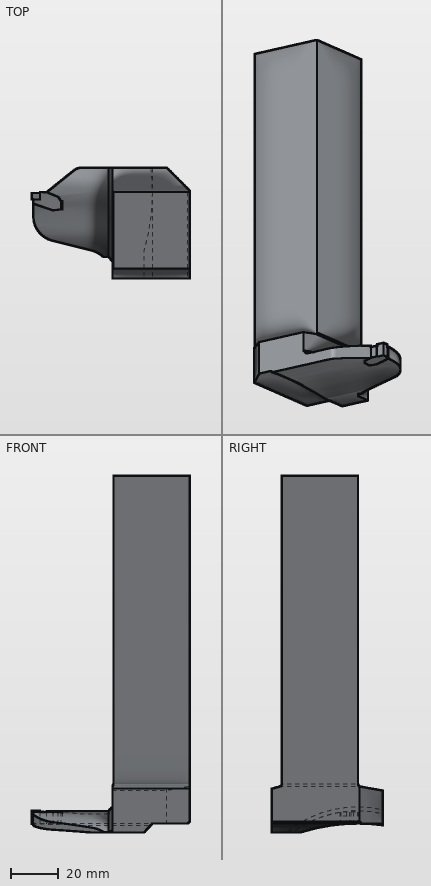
import cadquery as cq


TOTAL_HEIGHT = 149.2
SHANK_SIDE = 32.0
SHANK_SETBACK = 0.5
HEAD_LENGTH = SHANK_SIDE + SHANK_SETBACK
HEAD_FRONT = -4.2
HEAD_DEPTH = 46.4
HEAD_BACK = HEAD_FRONT + HEAD_DEPTH
SHANK_BASE = 20.3
FLARE_HEIGHT = 1.0
FLARE_RADIUS = 1.2
FLARE_BASE = SHANK_BASE - FLARE_HEIGHT
FRONT_EDGE_HEIGHT = 18.4
BACK_EDGE_HEIGHT = 17.6
CORNER_CHAMFER = 9.7
RELIEF_HEIGHT = 3.7
RELIEF_START = 13.3
RELIEF_END = 16.7
RELIEF_EDGE_CHAMFER = 0.9

BLADE_REACH = 33.1
BLADE_AXIS_Y = 31.6
TOP_RADIUS = 44.8
TOP_CREST = 9.1
BOTTOM_RADIUS = 79.1
BOTTOM_CREST = 3.7
ROOT_CHAMFER = 1.6
NOSE_RADIUS = 10.9
BACK_CORNER_RADIUS = 5.2
FLANK_Y = 32.0
FLANK_X = -27.5
BACK_CORNER_X = -14.6
NOSE_START_Y = 22.1
NOSE_END = (-25.7, 11.8)
NECK_START = (-7.8, 7.3)
NECK_MIDDLE = (-5.4, 6.1)
NECK_END = (-3.6, 4.8)
ROOT_CORNER = (-1.5, 4.8)
ROOT_FRONT_Y = 3.0

TIP_TOP = 9.3
INSERT_TOP = 8.5
TIP_REACH = HEAD_LENGTH - 66.1
TIP_BACK = 31.6
TIP_FRONT = 29.0
TIP_LAND_END = -30.3
SEAT_GAP = 0.7
SEAT_GAP_FLOOR = 6.9
INSERT_END_X = -21.5
INSERT_END_FRONT = 24.8
INSERT_END_BACK = 28.4
INSERT_BACK_CORNER = (-22.7, 30.0)
INSERT_FRONT_CORNER = (-24.8, 24.3)
INSERT_FRONT_EDGE_Y = 27.2
LAND_STEP = 0.5


def x_cylinder(radius, crest, start, end):
    """Cylinder along X whose highest line is at the given height."""
    return (
        cq.Workplane("YZ", origin=(start, BLADE_AXIS_Y, crest - radius))
        .circle(radius)
        .extrude(end - start)
    )


def make_shank():
    return (
        cq.Workplane("XY", origin=(SHANK_SETBACK, 0, FLARE_BASE))
        .rect(SHANK_SIDE, SHANK_SIDE, centered=False)
        .extrude(TOTAL_HEIGHT - FLARE_BASE)
    )


def make_head():
    head = (
        cq.Workplane("YZ")
        .moveTo(HEAD_FRONT, 0)
        .lineTo(HEAD_BACK, 0)
        .lineTo(HEAD_BACK, BACK_EDGE_HEIGHT)
        .lineTo(SHANK_SIDE + FLARE_HEIGHT, FLARE_BASE)
        .radiusArc((SHANK_SIDE, SHANK_BASE), FLARE_RADIUS)
        .lineTo(0, SHANK_BASE)
        .radiusArc((-FLARE_HEIGHT, FLARE_BASE), FLARE_RADIUS)
        .lineTo(HEAD_FRONT, FRONT_EDGE_HEIGHT)
        .close()
        .extrude(HEAD_LENGTH)
    )
    head = head.edges("|Z and >X and >Y").chamfer(CORNER_CHAMFER)

    flare_cut = (
        cq.Workplane("XZ", origin=(0, HEAD_BACK, 0))
        .polyline([(0, FLARE_BASE), (SHANK_SETBACK, SHANK_BASE), (0, SHANK_BASE)])
        .close()
        .extrude(HEAD_DEPTH)
    )

    relief = (
        cq.Workplane("XZ", origin=(0, HEAD_BACK, 0))
        .polyline([
            (RELIEF_START, 0),
            (RELIEF_END, RELIEF_HEIGHT),
            (HEAD_LENGTH - RELIEF_EDGE_CHAMFER, RELIEF_HEIGHT),
            (HEAD_LENGTH, RELIEF_HEIGHT + RELIEF_EDGE_CHAMFER),
            (HEAD_LENGTH, 0),
        ])
        .close()
        .extrude(HEAD_DEPTH)
    )
    return head.cut(flare_cut).cut(relief)


def make_blade():
    plan = (
        cq.Workplane("XY")
        .moveTo(0, HEAD_BACK)
        .lineTo(BACK_CORNER_X, HEAD_BACK)
        .lineTo(FLANK_X, FLANK_Y)
        .lineTo(-BLADE_REACH, FLANK_Y)
        .lineTo(-BLADE_REACH, NOSE_START_Y)
        .radiusArc(NOSE_END, -NOSE_RADIUS)
        .lineTo(*NECK_START)
        .threePointArc(NECK_MIDDLE, NECK_END)
        .lineTo(*ROOT_CORNER)
        .lineTo(0, ROOT_FRONT_Y)
        .close()
        .extrude(TOP_CREST + ROOT_CHAMFER)
    )
    plan = plan.edges(
        cq.selectors.NearestToPointSelector((BACK_CORNER_X, HEAD_BACK, TOP_CREST / 2))
    ).fillet(BACK_CORNER_RADIUS)

    root_bevel = cq.Workplane(obj=cq.Solid.makeCone(
        TOP_RADIUS,
        TOP_RADIUS + ROOT_CHAMFER,
        ROOT_CHAMFER,
        pnt=cq.Vector(-ROOT_CHAMFER, BLADE_AXIS_Y, TOP_CREST - TOP_RADIUS),
        dir=cq.Vector(1, 0, 0),
    ))
    envelope = x_cylinder(TOP_RADIUS, TOP_CREST, -BLADE_REACH, 0).union(root_bevel)
    return plan.intersect(envelope)


def insert_prism():
    """Insert outline in plan, extruded to the height of the tip."""
    return (
        cq.Workplane("XY")
        .polyline([
            (TIP_REACH, TIP_BACK),
            (TIP_LAND_END, TIP_BACK),
            (TIP_LAND_END, TIP_BACK + LAND_STEP),
            (FLANK_X, FLANK_Y),
            INSERT_BACK_CORNER,
            (INSERT_END_X, INSERT_END_BACK),
            (INSERT_END_X, INSERT_END_FRONT),
            INSERT_FRONT_CORNER,
            (-BLADE_REACH, INSERT_FRONT_EDGE_Y),
            (-BLADE_REACH, TIP_FRONT),
            (TIP_REACH, TIP_FRONT),
        ])
        .close()
        .extrude(TIP_TOP)
    )


def make_insert():
    insert = insert_prism().cut(x_cylinder(BOTTOM_RADIUS, BOTTOM_CREST, TIP_REACH, 0))
    behind_land = (
        cq.Workplane("XY", origin=(TIP_LAND_END, 0, INSERT_TOP))
        .rect(-TIP_LAND_END, HEAD_BACK, centered=False)
        .extrude(TIP_TOP - INSERT_TOP)
    )
    beside_land = (
        cq.Workplane("XY", origin=(TIP_REACH, 0, INSERT_TOP))
        .rect(TIP_LAND_END - TIP_REACH, TIP_FRONT, centered=False)
        .extrude(TIP_TOP - INSERT_TOP)
    )
    return insert.cut(behind_land).cut(beside_land)


def make_seat():
    """Pocket for the insert, open at the blade's back corner and with a gap at its inner end."""
    end_gap = (
        cq.Workplane("XY", origin=(INSERT_END_X, INSERT_END_FRONT, SEAT_GAP_FLOOR))
        .rect(SEAT_GAP, INSERT_END_BACK - INSERT_END_FRONT, centered=False)
        .extrude(TIP_TOP - SEAT_GAP_FLOOR)
    )
    corner_clearance = (
        cq.Workplane("XY", origin=(-BLADE_REACH, TIP_BACK, 0))
        .rect(FLANK_X + BLADE_REACH, FLANK_Y - TIP_BACK, centered=False)
        .extrude(TIP_TOP)
    )
    return insert_prism().union(end_gap).union(corner_clearance)


underside = x_cylinder(BOTTOM_RADIUS, BOTTOM_CREST, TIP_REACH, HEAD_LENGTH)
holder = make_head().union(make_shank()).union(make_blade())
holder = holder.cut(underside).cut(make_seat())
insert = make_insert()

result = cq.Compound.makeCompound([holder.val(), insert.val()])